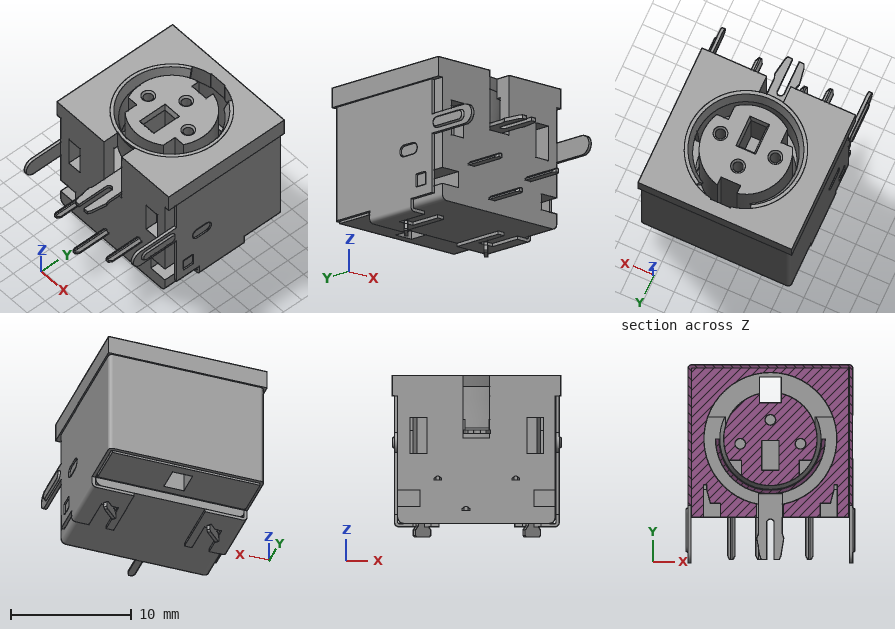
import cadquery as cq
import math


front_y = -6.5
housing_offset_x = -0.035
cap_width = 14.0
cap_depth = 12.8
cap_thickness = 1.7
body_width = 13.05
body_bottom_z = -12.28
body_edge_radius = 0.5

sheet = 0.28
shell_back_y = front_y + 12.67
shell_bottom_z = -11.51
shell_inner_x = 6.56
shell_outer_x = shell_inner_x + sheet
body_back_y = shell_back_y - sheet
shell_bend_radius = 0.34
shell_bend_inner_radius = shell_bend_radius - sheet

foot_front_y = 2.35
foot_bottom_z = -11.72

socket_radius = 5.12
undercut_radius = 5.5
socket_floor_z = -7.0
core_radius = 3.88
core_base_radius = 4.2
core_notch_floor_z = -6.2
ledge_z = core_notch_floor_z
ledge_y = 1.8
ledge_half_width = 3.7

core_notch_x = 2.4
core_notch_y = -1.77

key_half_width = 0.89
key_front_y = 3.02
key_back_y = socket_radius

contact_hole_places = [(0, 1.585), (-2.5, -0.4), (2.5, -0.4)]
contact_hole_diameter = 0.86
contact_hole_mouth = 1.22
contact_hole_depth = 5.0

blade_slot_width = 1.78
blade_slot_front_y = -2.77
blade_slot_back_y = 0.04
blade_slot_depth = 5.0
blade_slot_lead_in = 0.18
blade_slot_lead_in_depth = 0.45

front_slot_width = 2.2
front_slot_bottom_z = -5.17

window_inner_x = 4.14
window_slope_x = 4.98
window_slope_end_x = 5.29
window_outer_x = 5.54
window_top_z = -3.48
window_step_z = -4.56
window_bottom_z = -6.47
window_depth = 1.15
window_slope_end_depth = 2.3
window_upper_depth = 2.7

recess_inner_x = 4.73
recess_top_z = -9.5
recess_bottom_z = -10.88
recess_depth = 3.0

shell_front_y = -5.52

ear_width = 1.68
ear_z = -5.56
ear_tip_y = front_y - 3.8

draft = 35
ear_rib_front_y = -9.42
ear_rib_back_y = -5.7
ear_rib_width = 0.98
ear_rib_height = 0.175

dimple_depth = 0.1
long_dimple_y = -2.7
long_dimple_z = -7.21
long_dimple_length = 2.07
long_dimple_width = 1.02
square_dimple_y = -4.2
square_dimple_z = -10.08
square_dimple_size = 1.15
square_dimple_corner = 0.12

flange_front_y = -2.99
flange_back_y = 1.99
flange_inner_x = 3.13
flange_bend_radius = 0.39
flange_bottom_z = body_bottom_z - sheet

peg_x = 4.55
peg_y = 0.0
peg_bottom_z = -13.4
peg_width = 1.81
peg_neck_width = 1.1
peg_shoulder_z = -12.82
peg_chamfer = 0.15
peg_twist = 45
peg_notch_width = 1.52

ring_thickness = 0.31
ring_gap_angle = 58
flare_bottom_z = -0.9
flare_bottom_inner_radius = 4.42
skirt_bottom_z = -3.67
skirt_bottom_inner_radius = 4.25

tail_top_z = -4.52
tail_thickness = 0.31
tail_half_width = 1.0
tail_bend_radius = 0.18
tail_tip_y = front_y - 3.5
barb_half_width = 1.12
barb_start_y = -7.85
barb_y = -8.23
tip_shoulder_half_width = 0.88
tip_shoulder_y = -9.7
tip_half_width = 0.74
tail_slit_half_width = 0.3
tail_slit_end_y = -6.65

pin_places = [(-3.235, -8.68), (3.235, -8.68), (-0.9, -11.19)]
pin_width = 0.63
pin_height = 0.34
pin_side_height = 0.14
pin_top_width = 0.14
pin_tip_width = 0.3
pin_taper_length = 0.32
pin_tip_y = front_y - 3.5
pin_inner_end_y = front_y + 3.0


def block(x0, x1, y0, y1, z0, z1):
    """Box between two opposite corners."""
    return cq.Workplane("XY").box(x1 - x0, y1 - y0, z1 - z0, centered=False).translate((x0, y0, z0))


def revolved(points):
    """Solid of revolution about the socket axis from (radius, z) points."""
    return cq.Workplane("XZ").polyline(points).close().revolve(360, (0, 0), (0, 1))


def mirrored_pair(solid):
    """A solid together with its mirror image in the YZ plane."""
    return solid.union(solid.mirror("YZ"))


def housing_outside():
    cap = block(-cap_width / 2, cap_width / 2, front_y, front_y + cap_depth, -cap_thickness, 0)
    body = block(-body_width / 2, body_width / 2, front_y, body_back_y, body_bottom_z, -cap_thickness)
    body = body.edges("|Y and <Z").fillet(body_edge_radius)
    body = body.edges("|Z and >Y").fillet(shell_bend_inner_radius)
    raised_rear = block(-body_width, body_width, flange_back_y, body_back_y, body_bottom_z, shell_bottom_z)
    foot = block(-body_width / 2, body_width / 2, foot_front_y, body_back_y, foot_bottom_z, shell_bottom_z)
    return cap.union(body.cut(raised_rear)).union(foot).translate((housing_offset_x, 0, 0))


def rear_region(z0, z1):
    """Rear part of the socket, stepping forward around the middle, between two heights."""
    rear = block(-undercut_radius, undercut_radius, ledge_y, undercut_radius, z0, z1)
    step = block(-ledge_half_width, ledge_half_width, 0, ledge_y, z0, z1)
    return rear.union(step)


def socket_core():
    column = cq.Workplane("XY").circle(core_radius).extrude(socket_floor_z)
    base_flare = revolved([
        (0, socket_floor_z),
        (core_base_radius, socket_floor_z),
        (core_radius, core_notch_floor_z),
        (0, core_notch_floor_z),
    ])
    base_flare = base_flare.cut(rear_region(socket_floor_z, core_notch_floor_z))
    notch = block(core_notch_x, socket_radius, -socket_radius, core_notch_y, core_notch_floor_z, 0)
    return column.union(base_flare).cut(mirrored_pair(notch))


def socket_cavity():
    cavity = revolved([
        (0, 0),
        (socket_radius, 0),
        (socket_radius, -cap_thickness),
        (undercut_radius, -cap_thickness),
        (undercut_radius, socket_floor_z),
        (0, socket_floor_z),
    ])
    return cavity.cut(rear_region(socket_floor_z, ledge_z)).cut(socket_core())


def core_openings():
    key = block(-key_half_width, key_half_width, key_front_y, key_back_y, body_bottom_z, 0)
    bore = cq.Workplane("XY").circle(contact_hole_diameter / 2).extrude(-contact_hole_depth)
    countersink_depth = (contact_hole_mouth - contact_hole_diameter) / 2
    mouth = revolved([(0, 0), (contact_hole_mouth / 2, 0), (0, -contact_hole_mouth / 2)])
    mouth = mouth.intersect(block(-1, 1, -1, 1, -countersink_depth, 0))
    openings = key
    for x, y in contact_hole_places:
        openings = openings.union(bore.union(mouth).translate((x, y, 0)))
    blade_mid_y = (blade_slot_front_y + blade_slot_back_y) / 2
    blade_length = blade_slot_back_y - blade_slot_front_y
    lead_in_angle = math.degrees(math.atan(blade_slot_lead_in / blade_slot_lead_in_depth))
    blade_mouth = (
        cq.Workplane("XY").center(0, blade_mid_y).rect(blade_slot_width, blade_length)
        .extrude(-blade_slot_lead_in_depth, taper=lead_in_angle)
    )
    blade_bore = (
        cq.Workplane("XY").center(0, blade_mid_y)
        .rect(blade_slot_width - 2 * blade_slot_lead_in, blade_length - 2 * blade_slot_lead_in)
        .extrude(-blade_slot_depth)
    )
    return openings.union(blade_mouth).union(blade_bore)


def front_slot():
    half = front_slot_width / 2
    slot = block(-half, half, front_y, -core_radius, front_slot_bottom_z, 0)
    return slot.translate((housing_offset_x, 0, 0)).cut(socket_core())


def front_windows():
    """Windows that slope back from a shallow inner part to a deeper outer strip, deepest at the top."""
    shallow_y = front_y + window_depth
    slope_end_y = front_y + window_slope_end_depth
    window = (
        cq.Workplane("XY").workplane(offset=window_bottom_z)
        .polyline([
            (window_inner_x, front_y),
            (window_outer_x, front_y),
            (window_outer_x, slope_end_y),
            (window_slope_end_x, slope_end_y),
            (window_slope_x, shallow_y),
            (window_inner_x, shallow_y),
        ])
        .close().extrude(window_top_z - window_bottom_z)
    )
    upper_strip = block(window_slope_end_x, window_outer_x, front_y, front_y + window_upper_depth,
                        window_step_z, window_top_z)
    return mirrored_pair(window.union(upper_strip))


def corner_recesses():
    return mirrored_pair(block(
        recess_inner_x, shell_inner_x + sheet,
        front_y, front_y + recess_depth,
        recess_bottom_z, recess_top_z,
    ))


def shell_walls():
    def rounded_block(half_width, back_y, radius):
        solid = block(-half_width, half_width, shell_front_y, back_y, shell_bottom_z, -cap_thickness)
        return solid.edges("|Z and >Y").fillet(radius)
    outside = rounded_block(shell_outer_x, shell_back_y, shell_bend_radius)
    return outside.cut(rounded_block(shell_inner_x, body_back_y, shell_bend_inner_radius))


def side_plane(x):
    """Sketch plane at a given X whose local axes are Y and Z and whose normal is +X."""
    return cq.Workplane(cq.Plane(origin=(x, 0, 0), xDir=(0, 1, 0), normal=(1, 0, 0)))


def ear():
    half = ear_width / 2
    plate = (
        side_plane(shell_inner_x)
        .moveTo(shell_front_y, ear_z - half)
        .lineTo(ear_tip_y + half, ear_z - half)
        .threePointArc((ear_tip_y, ear_z), (ear_tip_y + half, ear_z + half))
        .lineTo(shell_front_y, ear_z + half)
        .close().extrude(sheet)
    )
    rib = (
        side_plane(shell_outer_x)
        .center((ear_rib_front_y + ear_rib_back_y) / 2, ear_z)
        .slot2D(ear_rib_back_y - ear_rib_front_y, ear_rib_width)
        .extrude(ear_rib_height, taper=draft)
    )
    return plate.union(rib)


def side_dimples():
    long_dimple = (
        side_plane(shell_outer_x).center(long_dimple_y, long_dimple_z)
        .slot2D(long_dimple_length, long_dimple_width)
        .extrude(-dimple_depth, taper=draft)
    )
    corner = square_dimple_corner
    outline = cq.Sketch().rect(square_dimple_size, square_dimple_size).vertices().fillet(corner)
    square_dimple = (
        side_plane(shell_outer_x).center(square_dimple_y, square_dimple_z)
        .placeSketch(outline).extrude(-dimple_depth, taper=draft)
    )
    return long_dimple.union(square_dimple)


def flange():
    outside = block(flange_inner_x, shell_outer_x, flange_front_y, flange_back_y,
                    flange_bottom_z, shell_bottom_z)
    outside = outside.edges("|Y and >X and <Z").fillet(flange_bend_radius)
    inside = block(flange_inner_x, shell_inner_x, flange_front_y, flange_back_y,
                   body_bottom_z, shell_bottom_z)
    inside = inside.edges("|Y and >X and <Z").fillet(flange_bend_radius - sheet)
    notch = block(peg_x - peg_notch_width / 2, peg_x + peg_notch_width / 2,
                  flange_front_y, peg_y, flange_bottom_z, body_bottom_z)
    return outside.cut(inside).cut(notch)


def locking_peg():
    """Sheet tongue below the flange, twisted about its upright axis."""
    half = peg_width / 2
    neck = peg_neck_width / 2
    shoulder_top_z = peg_shoulder_z + half - neck
    right_side = [
        (neck, body_bottom_z),
        (neck, shoulder_top_z),
        (half, peg_shoulder_z),
        (half, peg_bottom_z + peg_chamfer),
        (half - peg_chamfer, peg_bottom_z),
    ]
    left_side = [(-x, z) for x, z in reversed(right_side)]
    plate = cq.Workplane("XZ").polyline(right_side + left_side).close().extrude(sheet / 2, both=True)
    return plate.rotate((0, 0, 0), (0, 0, 1), peg_twist)


def make_shell():
    shell = shell_walls().union(mirrored_pair(ear())).union(mirrored_pair(flange()))
    shell = shell.cut(mirrored_pair(side_dimples()))
    for side in (-1, 1):
        shell = shell.union(locking_peg().translate((side * peg_x, peg_y, 0)))
    return shell


def contact_flare():
    flare = revolved([
        (socket_radius - ring_thickness, 0),
        (socket_radius, 0),
        (flare_bottom_inner_radius + ring_thickness, flare_bottom_z),
        (flare_bottom_inner_radius, flare_bottom_z),
    ])
    reach = 2 * socket_radius
    half_gap = reach * math.tan(math.radians(ring_gap_angle / 2))
    gap = (
        cq.Workplane("XY").polyline([(0, 0), (half_gap, reach), (-half_gap, reach)]).close()
        .extrude(flare_bottom_z)
    )
    return flare.cut(gap)


def skirt_inner_radius(z):
    """Inner radius of the gently tapered skirt at height z."""
    share = (z - flare_bottom_z) / (skirt_bottom_z - flare_bottom_z)
    return flare_bottom_inner_radius + share * (skirt_bottom_inner_radius - flare_bottom_inner_radius)


def skirt_cone(bottom_z):
    """Front half of the tapered sheet, from the flare down to bottom_z."""
    bottom_radius = skirt_inner_radius(bottom_z)
    cone = revolved([
        (flare_bottom_inner_radius, flare_bottom_z),
        (flare_bottom_inner_radius + ring_thickness, flare_bottom_z),
        (bottom_radius + ring_thickness, bottom_z),
        (bottom_radius, bottom_z),
    ])
    return cone.intersect(block(-socket_radius, socket_radius, -socket_radius, 0, bottom_z, 0))


def contact_tail():
    tail_bottom_z = tail_top_z - tail_thickness
    tongue = skirt_cone(tail_bottom_z)
    tongue = tongue.intersect(
        block(-tail_half_width, tail_half_width, -socket_radius, 0, tail_bottom_z, 0))
    bend_y = -skirt_inner_radius(tail_top_z + tail_bend_radius) - ring_thickness
    bend = (
        cq.Workplane("YZ", origin=(-tail_half_width, 0, 0))
        .moveTo(bend_y - tail_bend_radius, tail_top_z)
        .radiusArc((bend_y, tail_top_z + tail_bend_radius), -tail_bend_radius)
        .lineTo(bend_y + ring_thickness / 2, tail_top_z + tail_bend_radius)
        .lineTo(bend_y + ring_thickness / 2, tail_top_z)
        .close().extrude(2 * tail_half_width)
    )
    right_side = [
        (tail_half_width, bend_y + ring_thickness / 2),
        (tail_half_width, barb_start_y),
        (barb_half_width, barb_y),
        (tip_shoulder_half_width, tip_shoulder_y),
        (tip_half_width, tail_tip_y),
    ]
    left_side = [(-x, y) for x, y in reversed(right_side)]
    tail = (
        cq.Workplane("XY").workplane(offset=tail_bottom_z)
        .polyline(right_side + left_side).close().extrude(tail_thickness)
    )
    slit_round_y = tail_slit_end_y - tail_slit_half_width
    slit = (
        cq.Workplane("XY").workplane(offset=tail_bottom_z)
        .moveTo(-tail_slit_half_width, tail_tip_y)
        .lineTo(-tail_slit_half_width, slit_round_y)
        .threePointArc((0, tail_slit_end_y), (tail_slit_half_width, slit_round_y))
        .lineTo(tail_slit_half_width, tail_tip_y)
        .close().extrude(tail_thickness)
    )
    return tongue.union(bend).union(tail.cut(slit))


def signal_pin(x, underside_z):
    """Straight pin of gabled section, running into the front face and tapered at its tip."""
    half = pin_width / 2
    bar = (
        cq.Workplane("XZ", origin=(x, pin_inner_end_y, underside_z))
        .polyline([
            (-half, 0),
            (half, 0),
            (half, pin_side_height),
            (pin_top_width / 2, pin_height),
            (-pin_top_width / 2, pin_height),
            (-half, pin_side_height),
        ])
        .close().extrude(pin_inner_end_y - pin_tip_y)
    )
    outline = (
        cq.Workplane("XY", origin=(x, 0, underside_z))
        .polyline([
            (-half, pin_inner_end_y),
            (half, pin_inner_end_y),
            (half, pin_tip_y + pin_taper_length),
            (pin_tip_width / 2, pin_tip_y),
            (-pin_tip_width / 2, pin_tip_y),
            (-half, pin_tip_y + pin_taper_length),
        ])
        .close().extrude(pin_height)
    )
    return bar.intersect(outline)


pins = [signal_pin(x, z) for x, z in pin_places]
shell = make_shell()
contact = contact_flare().union(skirt_cone(skirt_bottom_z)).union(contact_tail())

housing = housing_outside().cut(socket_cavity()).cut(core_openings()).cut(front_slot())
housing = housing.cut(front_windows()).cut(corner_recesses())
for pin in pins:
    housing = housing.cut(pin)

result = cq.Compound.makeCompound([housing.val(), shell.val(), contact.val(), *[pin.val() for pin in pins]])